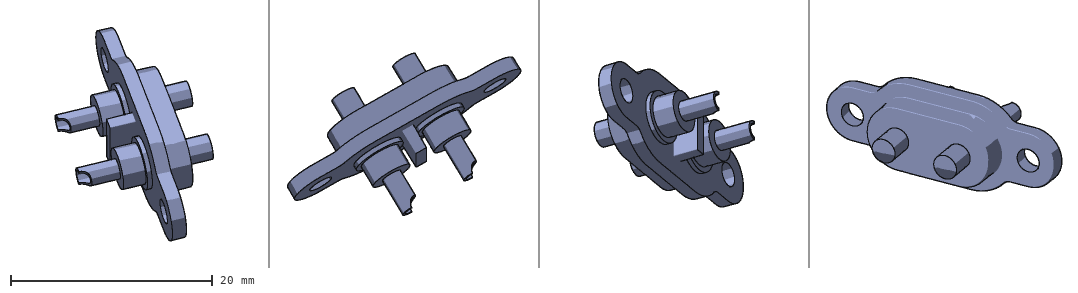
import cadquery as cq
import math

DRAFT = 1.0
EDGE_RADIUS = 0.1
SELECTION_MARGIN = 0.05

LENGTH = 26.0
EAR_WIDTH = 6.0
BODY_WIDTH = 10.0
CONTACT_SPACING = 7.0
BODY_LENGTH = CONTACT_SPACING + BODY_WIDTH
NECK_RADIUS = 1.0
FLANGE_THICKNESS = 1.5
MOUNT_HOLE_DIAMETER = 2.5
MOUNT_HOLE_X = (LENGTH - EAR_WIDTH) / 2
CONTACT_X = CONTACT_SPACING / 2

BOSS_HEIGHT = 2.5
BOSS_WIDTH = 7.0
BOSS_LENGTH = CONTACT_SPACING + BOSS_WIDTH

RIB_WIDTH = 1.3
RIB_HEIGHT = 6.0
RIB_DEPTH = 2.68
RIB_ROOT_RADIUS = 0.08

POST_DIAMETER = 2.6
POST_LENGTH = 2.9
DOME_HEIGHT = 0.15
COLLAR_DIAMETER = 5.4
COLLAR_THICKNESS = 0.5
BARREL_DIAMETER = 4.26
BARREL_LENGTH = 2.31
TAIL_DIAMETER = 2.08
TAIL_LENGTH = 4.0
CUP_DIAMETER = 1.5
CUP_DEPTH = 2.0
CUP_POINT_ANGLE = 118.0

BOSS_FACE_Y = FLANGE_THICKNESS + BOSS_HEIGHT
COLLAR_FRONT_Y = -COLLAR_THICKNESS
BARREL_FRONT_Y = COLLAR_FRONT_Y - BARREL_LENGTH
TAIL_END_Y = BARREL_FRONT_Y - TAIL_LENGTH


def plane_facing_rear(y):
    """Sketch plane at the given Y with its normal along +Y (local axes: x = -X, y = Z)."""
    return cq.Plane(origin=(0, y, 0), xDir=(-1, 0, 0), normal=(0, 1, 0))


def plane_facing_front(y):
    """Sketch plane at the given Y with its normal along -Y (local axes: x = X, y = Z)."""
    return cq.Plane(origin=(0, y, 0), xDir=(1, 0, 0), normal=(0, -1, 0))


def moulded_oblong(base_y, length, width, height):
    """Drafted oblong block rising from base_y toward +Y."""
    return (
        cq.Workplane(plane_facing_rear(base_y))
        .slot2D(length, width)
        .extrude(height, taper=DRAFT)
    )


def make_flange():
    body = moulded_oblong(0, BODY_LENGTH, BODY_WIDTH, FLANGE_THICKNESS)
    ears = moulded_oblong(0, LENGTH, EAR_WIDTH, FLANGE_THICKNESS)
    flange = body.union(ears)

    neck_z = EAR_WIDTH / 2
    neck_x = CONTACT_X + math.sqrt((BODY_WIDTH / 2) ** 2 - neck_z**2)
    for side_x in (-1, 1):
        for side_z in (-1, 1):
            corner = (side_x * neck_x, FLANGE_THICKNESS / 2, side_z * neck_z)
            flange = flange.edges(cq.NearestToPointSelector(corner)).fillet(NECK_RADIUS)

    return flange.faces(">Y").edges().fillet(EDGE_RADIUS)


def make_boss():
    boss = moulded_oblong(FLANGE_THICKNESS, BOSS_LENGTH, BOSS_WIDTH, BOSS_HEIGHT)
    return boss.faces(">Y").edges().fillet(EDGE_RADIUS)


def make_rib():
    outline = cq.Sketch().rect(RIB_WIDTH, RIB_HEIGHT).vertices().fillet(EDGE_RADIUS)
    return (
        cq.Workplane(plane_facing_front(0))
        .placeSketch(outline)
        .extrude(RIB_DEPTH, taper=DRAFT)
    )


def root_edges(y, length, width):
    """Selector of the edges lying at the given Y within a centred length x width area."""
    half_x = length / 2 + SELECTION_MARGIN
    half_z = width / 2 + SELECTION_MARGIN
    return cq.selectors.BoxSelector(
        (-half_x, y - SELECTION_MARGIN, -half_z),
        (half_x, y + SELECTION_MARGIN, half_z),
        boundingbox=True,
    )


def through_holes(offset_x, diameter, depth):
    """Pair of cutting cylinders at +/- offset_x, running from the flange front face toward +Y."""
    return (
        cq.Workplane(plane_facing_rear(0))
        .pushPoints([(-offset_x, 0), (offset_x, 0)])
        .circle(diameter / 2)
        .extrude(depth)
    )


def make_housing():
    body = make_flange().union(make_boss())
    body = body.edges(root_edges(FLANGE_THICKNESS, BOSS_LENGTH, BOSS_WIDTH)).fillet(EDGE_RADIUS)

    body = body.union(make_rib())
    body = body.edges(root_edges(0, RIB_WIDTH, RIB_HEIGHT)).fillet(RIB_ROOT_RADIUS)

    body = body.cut(through_holes(MOUNT_HOLE_X, MOUNT_HOLE_DIAMETER, FLANGE_THICKNESS))
    return body.cut(through_holes(CONTACT_X, POST_DIAMETER, BOSS_FACE_Y))


def make_contact(x):
    """Stepped round contact with a domed post, seated by its collar on the flange front face."""
    post_radius = POST_DIAMETER / 2
    tail_radius = TAIL_DIAMETER / 2
    cup_radius = CUP_DIAMETER / 2
    dome_tip_y = BOSS_FACE_Y + POST_LENGTH
    dome_base_y = dome_tip_y - DOME_HEIGHT
    dome_radius = (post_radius**2 + DOME_HEIGHT**2) / (2 * DOME_HEIGHT)
    dome_mid_x = post_radius / 2
    dome_mid_y = dome_tip_y - dome_radius + math.sqrt(dome_radius**2 - dome_mid_x**2)
    cup_bottom_y = TAIL_END_Y + CUP_DEPTH
    cup_point_y = cup_bottom_y + cup_radius / math.tan(math.radians(CUP_POINT_ANGLE / 2))

    contact = (
        cq.Workplane("XY")
        .moveTo(0, cup_point_y)
        .lineTo(cup_radius, cup_bottom_y)
        .lineTo(cup_radius, TAIL_END_Y)
        .lineTo(tail_radius, TAIL_END_Y)
        .lineTo(tail_radius, BARREL_FRONT_Y)
        .lineTo(BARREL_DIAMETER / 2, BARREL_FRONT_Y)
        .lineTo(BARREL_DIAMETER / 2, COLLAR_FRONT_Y)
        .lineTo(COLLAR_DIAMETER / 2, COLLAR_FRONT_Y)
        .lineTo(COLLAR_DIAMETER / 2, 0)
        .lineTo(post_radius, 0)
        .lineTo(post_radius, dome_base_y)
        .threePointArc((dome_mid_x, dome_mid_y), (0, dome_tip_y))
        .close()
        .revolve(360, (0, 0, 0), (0, 1, 0))
    )
    notch = (
        cq.Workplane("XY")
        .center(tail_radius, TAIL_END_Y)
        .circle(tail_radius)
        .extrude(tail_radius, both=True)
    )
    return contact.cut(notch).translate((x, 0, 0))


housing = make_housing()
contacts = [make_contact(x) for x in (-CONTACT_X, CONTACT_X)]

result = cq.Compound.makeCompound([housing.val(), *[contact.val() for contact in contacts]])